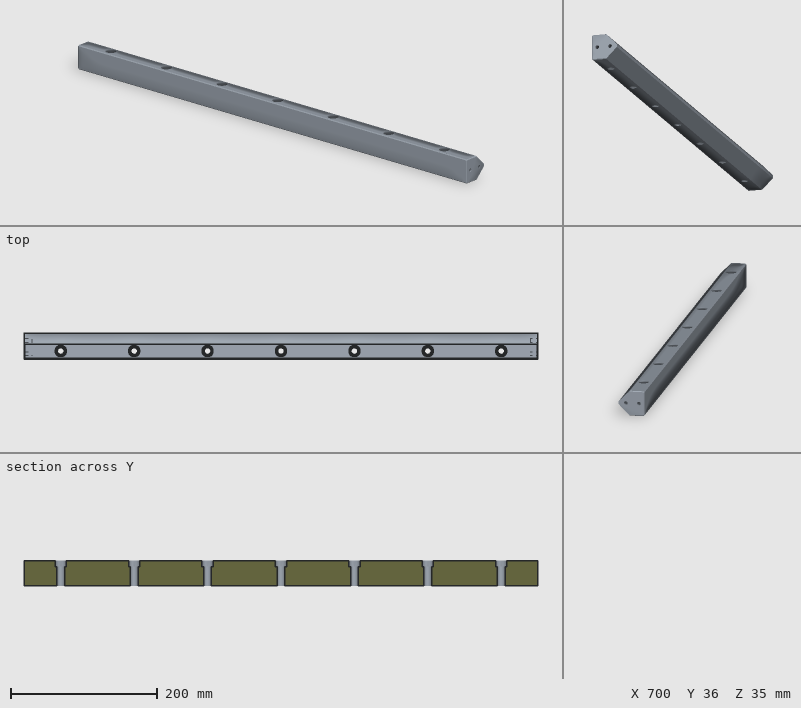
import cadquery as cq

length = 700.0
width = 36.0
height = 35.0

nose_depth = 15.5
back_chamfer = 1.25
end_chamfer = 1.05

hole_count = 7
hole_pitch = length / hole_count
hole_from_nose = 24.5
hole_diameter = 10.0
counterbore_diameter = 15.0
counterbore_depth = 8.5

end_hole_diameter = 5.2
end_hole_depth = 10.5
end_holes_from_nose = (10.0, 28.0)

nose_y = width / 2
back_y = -width / 2
shoulder_y = nose_y - nose_depth
top_z = height / 2
nose_half_flat = top_z - nose_depth


def rail_body():
    """Extruded section: square back, 45 degree flanks and a narrow flat nose."""
    section = [
        (back_y, -top_z),
        (shoulder_y, -top_z),
        (nose_y, -nose_half_flat),
        (nose_y, nose_half_flat),
        (shoulder_y, top_z),
        (back_y, top_z),
    ]
    body = (
        cq.Workplane("YZ", origin=(-length / 2, 0, 0))
        .polyline(section)
        .close()
        .extrude(length)
    )
    body = body.faces("<Y").edges("|X").chamfer(back_chamfer)
    behind_shoulder = cq.selectors.BoxSelector(
        (-length, -width, -height), (length, shoulder_y, height)
    )
    end_edges = body.faces("<X or >X").edges(behind_shoulder)
    return end_edges.chamfer(end_chamfer)


def mounting_holes():
    """Row of through holes with counterbores, centred along the rail."""
    row = cq.Workplane("XY", origin=(0, nose_y - hole_from_nose, top_z)).rarray(
        hole_pitch, 7, hole_count, 1
    )
    through = row.circle(hole_diameter / 2).extrude(-height)
    counterbores = row.circle(counterbore_diameter / 2).extrude(-counterbore_depth)
    return through.union(counterbores)


def end_holes():
    """Blind holes on the mid-height plane, running inward from each end."""
    centres = [(nose_y - offset, 0) for offset in end_holes_from_nose]
    cutters = cq.Workplane("YZ")
    for side in (-1, 1):
        cutters = cutters.add(
            cq.Workplane("YZ", origin=(side * length / 2, 0, 0))
            .pushPoints(centres)
            .circle(end_hole_diameter / 2)
            .extrude(-side * end_hole_depth)
        )
    return cutters.combine()


result = rail_body().cut(mounting_holes()).cut(end_holes())